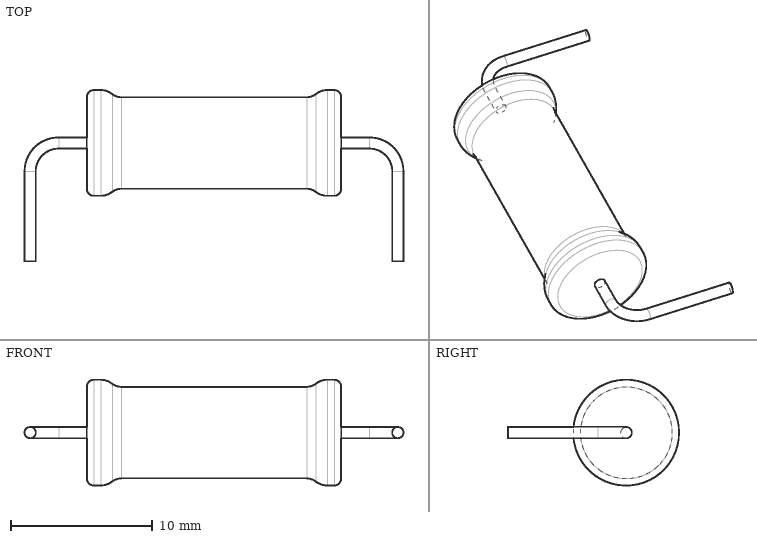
import cadquery as cq
import math


overall_length = 26.8
lead_reach = 8.35

body_length = 17.98
body_radius = 3.25
cap_radius = 3.75
rim_radius = 0.5
cap_flat_end = 1.0
neck_end = 2.45

wire_diameter = 0.8
bend_radius = 2.0

shoulder_share = 0.55
neck_width = neck_end - cap_flat_end
neck_drop = cap_radius - body_radius
neck_radii_sum = (neck_width**2 + neck_drop**2) / (2 * neck_drop)
neck_angle = math.asin(neck_width / neck_radii_sum)
shoulder_radius = shoulder_share * neck_radii_sum
foot_radius = neck_radii_sum - shoulder_radius

half_body = body_length / 2
lead_x = (overall_length - wire_diameter) / 2


def arc_point(center_x, center_r, radius, angle):
    """Point on an arc of the profile, with the angle measured from +r towards +x."""
    return (center_x + radius * math.sin(angle), center_r + radius * math.cos(angle))


def make_half_body():
    """Revolve the half of the body from its -X end face to the middle."""
    face_x = -half_body
    flat_x = face_x + cap_flat_end
    neck_x = face_x + neck_end
    shoulder = (flat_x, cap_radius - shoulder_radius, shoulder_radius)
    foot = (neck_x, body_radius + foot_radius, foot_radius)
    rim = (face_x + rim_radius, cap_radius - rim_radius, rim_radius)
    profile = (
        cq.Workplane("XY")
        .moveTo(face_x, 0)
        .lineTo(face_x, cap_radius - rim_radius)
        .threePointArc(arc_point(*rim, -math.pi / 4), (face_x + rim_radius, cap_radius))
        .lineTo(flat_x, cap_radius)
        .threePointArc(arc_point(*shoulder, neck_angle / 2), arc_point(*shoulder, neck_angle))
        .threePointArc(arc_point(*foot, math.pi + neck_angle / 2), (neck_x, body_radius))
        .lineTo(0, body_radius)
        .lineTo(0, 0)
        .close()
    )
    return profile.revolve(360, (0, 0, 0), (1, 0, 0))


def make_lead():
    """Sweep the -X lead from the end face, round the bend and on to its tip."""
    bend_x = -lead_x + bend_radius
    bend_middle = (
        bend_x - bend_radius * math.cos(math.pi / 4),
        -bend_radius + bend_radius * math.sin(math.pi / 4),
    )
    path = (
        cq.Workplane("XY")
        .moveTo(-half_body, 0)
        .lineTo(bend_x, 0)
        .threePointArc(bend_middle, (-lead_x, -bend_radius))
        .lineTo(-lead_x, -lead_reach)
    )
    section = cq.Workplane("YZ", origin=(-half_body, 0, 0)).circle(wire_diameter / 2)
    return section.sweep(path)


half_part = make_half_body().union(make_lead())
result = half_part.union(half_part.mirror("YZ")).clean()